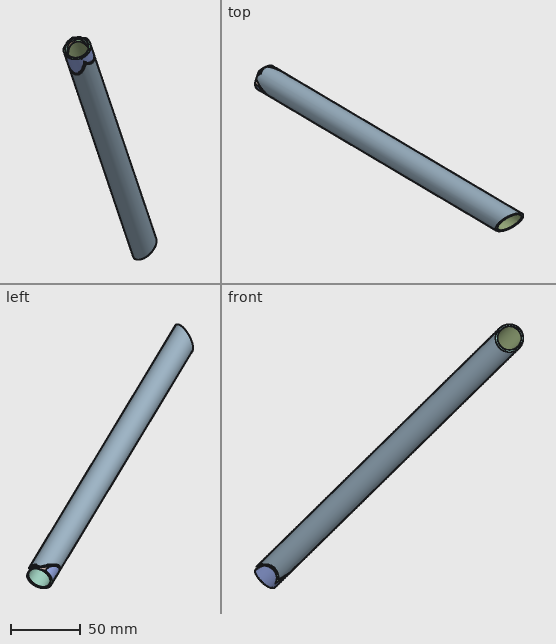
import cadquery as cq

outer_radius = 10.0
wall = 1.5
inner_radius = outer_radius - wall

lower_end = cq.Vector(0, 0, 0)
upper_end = cq.Vector(175.9, -104.0, 172.4)
tube_axis = (upper_end - lower_end).normalized()

rail_outer_radius = outer_radius
rail_wall = 1.4
rail_inner_radius = rail_outer_radius - rail_wall
rail_corner = lower_end + cq.Vector(-0.4, 0.4, -0.2)
front_leg_axis = cq.Vector(0, -1, 0)
back_leg_axis = cq.Vector(1, 0, 0)
leg_length = 8 * rail_outer_radius

mitre_normal = tube_axis + front_leg_axis
mitre_allowance = 4 * outer_radius


def rod(start, direction, radius, length):
    """Solid cylinder from a start point along a direction."""
    return cq.Workplane(cq.Plane(start, normal=direction)).circle(radius).extrude(length)


def mitred_leg(leg_axis, other_axis, radius):
    """Solid leg of the rail, cut on the plane where the two legs meet."""
    leg = rod(rail_corner - leg_axis * leg_length, leg_axis, radius, 2 * leg_length)
    other_side = rod(rail_corner, other_axis - leg_axis, 2 * leg_length, 2 * leg_length)
    return leg.cut(other_side)


def bent_rail(radius):
    """Solid bent rail of the given radius."""
    front_leg = mitred_leg(front_leg_axis, back_leg_axis, radius)
    back_leg = mitred_leg(back_leg_axis, front_leg_axis, radius)
    return front_leg.union(back_leg)


def mitred_tube():
    """Whole tube, square at its lower end and mitred at its upper end."""
    length = (upper_end - lower_end).Length + mitre_allowance
    tube = rod(lower_end, tube_axis, outer_radius, length)
    tube = tube.cut(rod(lower_end, tube_axis, inner_radius, length))
    beyond_mitre = rod(upper_end, mitre_normal, 2 * mitre_allowance, 2 * mitre_allowance)
    return tube.cut(beyond_mitre)


def make_main_tube():
    """Long tube, coped to fit the outside of the bent rail."""
    return mitred_tube().cut(bent_rail(rail_outer_radius))


def make_end_piece():
    """Short remainder of the tube, inside the bore of the bent rail."""
    return mitred_tube().intersect(bent_rail(rail_inner_radius))


main_tube = make_main_tube().solids()
end_piece = make_end_piece().solids()

result = cq.Compound.makeCompound([main_tube.val(), end_piece.val()])